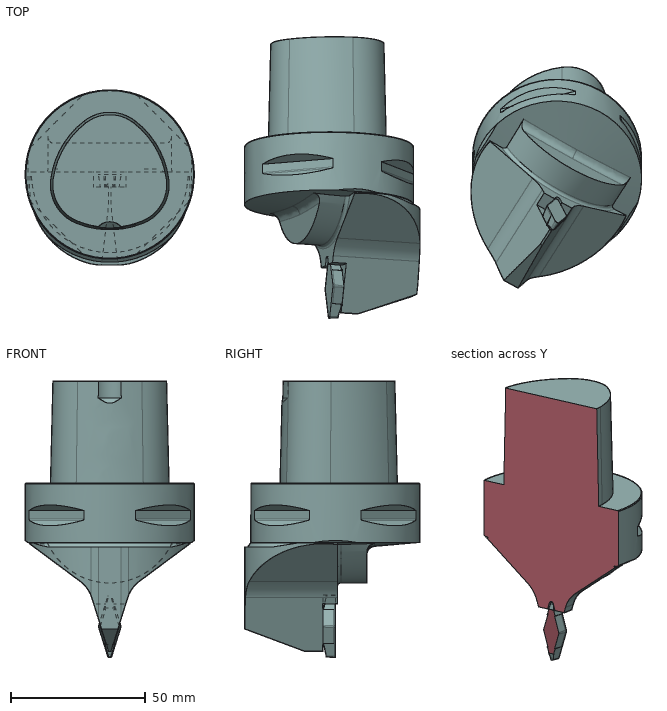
import cadquery as cq
import math


shank_height = 38.0
lobe_radius = 23.2
seam_radius = 22.0
side_radius = 20.65
seam_half_angle = 25.5
shank_shrink = 0.9
lobe_count = 3

notch_radius = 5.7
notch_axis_y = -23.3
notch_depth = 6.2
notch_point_height = 4.9

flange_radius = 31.5
flange_height = 22.0
flange_chamfer = 0.3
dish_height = 1.9
dish_radius = 10.3

slot_count = 4
slot_floor_distance = 28.0
slot_center_z = -11.9
slot_floor_half = 1.8
slot_mouth_half = 3.86
slot_half_length = 16.5
slot_corner_radius = 0.6

leg_top_z = -23.7
leg_radius = 29.9
leg_axis_y = -4.3
leg_front_y = 0.8
leg_back_y = -33.8
leg_back_half = 4.2
leg_bevel_half = 7.0
leg_end_z = -62.6
heel_top_z = -54.3
heel_end_y = -11.4

collar_top_z = -22.2
collar_bottom_radius = 32.8

slope_start_z = -21.3
slope_angle = 36.6
flank_half_angle = 17.5
flank_apex_z = -64.0
flank_corner_radius = 11.9

boss_back_y = 11.7
boss_radius = 25.4
boss_bottom_z = -37.2
boss_root_fillet = 3.1
boss_leg_fillet = 1.2

tip_z = shank_height - 103.0
insert_half_width = 4.27
nose_radius = 0.8
side_corner_radius = 1.49
insert_clearance = 5.0
insert_thickness = 4.6
insert_half_length = insert_half_width / math.tan(math.radians(flank_half_angle))
nose_setback = nose_radius / math.sin(math.radians(flank_half_angle)) - nose_radius
insert_center_z = tip_z + insert_half_length - nose_setback

relief_half_length = 6.4
relief_start = 0.6
relief_clearance = 9.0
pad_half_length = 6.8
pad_step_thickness = 4.3
end_relief_half_length = 10.5
end_thickness = 3.5

seat_roof_z = -44.9

overrun = 2.1
pick_margin = 0.1
root_pick_depth = 0.5


def polar_point(radius, degrees):
    angle = math.radians(degrees)
    return (radius * math.cos(angle), radius * math.sin(angle))


def lobed_outline(plane, shrink):
    """Closed outline of alternating lobe arcs and flatter side arcs."""
    pitch = 360 / lobe_count
    lobe = lobe_radius - shrink
    seam = seam_radius - shrink
    side = side_radius - shrink
    outline = plane.moveTo(*polar_point(seam, 90 - seam_half_angle))
    for index in range(lobe_count):
        crown = 90 + index * pitch
        outline = outline.threePointArc(
            polar_point(lobe, crown), polar_point(seam, crown + seam_half_angle)
        )
        outline = outline.threePointArc(
            polar_point(side, crown + pitch / 2), polar_point(seam, crown + pitch - seam_half_angle)
        )
    return outline.close()


def make_shank():
    base = lobed_outline(cq.Workplane("XY"), 0)
    shank = lobed_outline(base.workplane(offset=shank_height), shank_shrink).loft(ruled=True)
    notch = (
        cq.Workplane("XZ", origin=(0, notch_axis_y, shank_height))
        .polyline([
            (0, overrun),
            (notch_radius, overrun),
            (notch_radius, -notch_depth),
            (0, -notch_depth - notch_point_height),
        ])
        .close()
        .revolve(360, (0, 0), (0, 1))
    )
    return shank.cut(notch)


def make_flange():
    flange = (
        cq.Workplane("YZ")
        .polyline([
            (0, 0),
            (flange_radius - flange_chamfer, 0),
            (flange_radius, -flange_chamfer),
            (flange_radius, -flange_height),
            (dish_radius, -flange_height - dish_height),
            (0, -flange_height - dish_height),
        ])
        .close()
        .revolve(360, (0, 0), (0, 1))
    )
    flare = (slot_mouth_half - slot_floor_half) / (flange_radius - slot_floor_distance)
    outer_distance = flange_radius + overrun
    outer_half = slot_floor_half + flare * (outer_distance - slot_floor_distance)
    slot = (
        cq.Workplane("XZ", origin=(0, 0, slot_center_z))
        .polyline([
            (slot_floor_distance, slot_floor_half),
            (outer_distance, outer_half),
            (outer_distance, -outer_half),
            (slot_floor_distance, -slot_floor_half),
        ])
        .close()
        .extrude(slot_half_length, both=True)
        .faces("<X")
        .edges("<Z")
        .fillet(slot_corner_radius)
    )
    for index in range(slot_count):
        angle = (index + 0.5) * 360 / slot_count
        flange = flange.cut(slot.rotate((0, 0, 0), (0, 0, 1), angle))
    return flange


def leg_section(z):
    """Leg cross-section: flat bevelled back, round sides, flat front."""
    bevel_y = leg_axis_y - math.sqrt(leg_radius**2 - leg_bevel_half**2)
    front_half = math.sqrt(leg_radius**2 - (leg_front_y - leg_axis_y) ** 2)
    diagonal = leg_radius * math.sqrt(0.5)
    return (
        cq.Workplane("XY", origin=(0, 0, z))
        .moveTo(-front_half, leg_front_y)
        .threePointArc((-diagonal, leg_axis_y - diagonal), (-leg_bevel_half, bevel_y))
        .lineTo(-leg_back_half, leg_back_y)
        .lineTo(leg_back_half, leg_back_y)
        .lineTo(leg_bevel_half, bevel_y)
        .threePointArc((diagonal, leg_axis_y - diagonal), (front_half, leg_front_y))
        .close()
    )


def make_leg():
    leg = leg_section(leg_top_z).extrude(leg_end_z - leg_top_z)
    collar_height = collar_top_z - leg_top_z
    cone = cq.Workplane(
        cq.Solid.makeCone(
            collar_bottom_radius, flange_radius, collar_height, pnt=cq.Vector(0, 0, leg_top_z)
        )
    )
    collar = leg_section(leg_top_z).extrude(collar_height).intersect(cone)
    heel = (
        cq.Workplane("YZ")
        .polyline([(leg_back_y, heel_top_z), (heel_end_y, leg_end_z), (leg_back_y, leg_end_z)])
        .close()
        .extrude(flange_radius, both=True)
    )
    return leg.cut(heel).union(collar)


def make_tool_end():
    """Flange, leg and boss as one body, with the boss's edges blended into the other two."""
    boss_height = -flange_height - boss_bottom_z
    half_width = math.sqrt(boss_radius**2 - (boss_radius - boss_height) ** 2)
    boss = (
        cq.Workplane("XZ", origin=(0, boss_back_y, 0))
        .moveTo(-half_width, -flange_height)
        .threePointArc((0, boss_bottom_z), (half_width, -flange_height))
        .close()
        .extrude(boss_back_y)
    )
    body = make_flange().union(boss).union(make_leg())

    root_edges = cq.selectors.BoxSelector(
        (-boss_radius, boss_back_y - pick_margin, leg_top_z - root_pick_depth),
        (boss_radius, boss_back_y + pick_margin, -flange_height),
    )
    leg_edges = cq.selectors.BoxSelector(
        (-boss_radius, leg_front_y - pick_margin, boss_bottom_z),
        (boss_radius, leg_front_y + pick_margin, leg_top_z - root_pick_depth),
    )
    body = body.edges(root_edges).fillet(boss_root_fillet)
    body = body.edges(leg_edges).fillet(boss_leg_fillet)
    return body


def make_flank_envelope():
    """Prism along Y that bounds the tool's flanks from flange to tip."""
    shallow = math.tan(math.radians(slope_angle))
    steep = math.tan(math.radians(flank_half_angle))
    rim = flange_radius + overrun
    rim_z = slope_start_z + overrun * shallow
    corner_x = steep * (slope_start_z - flange_radius * shallow - flank_apex_z) / (1 - steep * shallow)
    corner_z = flank_apex_z + corner_x / steep
    envelope = (
        cq.Workplane("XZ")
        .polyline([
            (-rim, shank_height),
            (rim, shank_height),
            (rim, rim_z),
            (corner_x, corner_z),
            (0, flank_apex_z),
            (-corner_x, corner_z),
            (-rim, rim_z),
        ])
        .close()
        .extrude(2 * flange_radius, both=True)
    )
    corners = cq.selectors.BoxSelector(
        (-corner_x - pick_margin, -flange_radius, corner_z - pick_margin),
        (corner_x + pick_margin, flange_radius, corner_z + pick_margin),
    )
    return envelope.edges(corners).fillet(flank_corner_radius)


def insert_outline(inset):
    """Rhombus with rounded corners, its long diagonal upright, shrunk inward by the inset."""
    half_width = insert_half_width - inset / math.cos(math.radians(flank_half_angle))
    half_length = half_width / math.tan(math.radians(flank_half_angle))
    corners = [(half_width, 0), (0, half_length), (-half_width, 0), (0, -half_length)]
    return (
        cq.Sketch()
        .polygon([*corners, corners[0]])
        .vertices(">Y or <Y")
        .fillet(nose_radius - inset)
        .reset()
        .vertices(">X or <X")
        .fillet(side_corner_radius - inset)
    )


def insert_plane(y):
    return cq.Workplane("XZ", origin=(0, y, insert_center_z))


def make_insert():
    plate = insert_plane(0).placeSketch(insert_outline(0)).extrude(
        insert_thickness, taper=insert_clearance
    )

    relief_inset = relief_start * math.tan(math.radians(insert_clearance))
    relief_depth = insert_thickness - relief_start
    middle = insert_plane(-relief_start).rect(3 * insert_half_width, 2 * relief_half_length)
    relief = middle.extrude(relief_depth).cut(
        insert_plane(-relief_start)
        .placeSketch(insert_outline(relief_inset))
        .extrude(relief_depth, taper=relief_clearance)
    )
    insert = plate.cut(relief)

    for end in (1, -1):
        underside = (
            cq.Workplane("YZ", origin=(0, 0, insert_center_z))
            .polyline([
                (-insert_thickness, end * pad_half_length),
                (-pad_step_thickness, end * pad_half_length),
                (-end_thickness, end * end_relief_half_length),
                (-end_thickness, end * insert_half_length),
                (-insert_thickness, end * insert_half_length),
            ])
            .close()
            .extrude(insert_half_width, both=True)
        )
        insert = insert.cut(underside)
    return insert


def make_seat_cut():
    """Open seat below the roof plus the notch that takes the insert's upper end."""
    seat_height = seat_roof_z - tip_z
    lip_depth = leg_front_y + insert_thickness
    seat = cq.Workplane("XY").box(
        2 * flange_radius, lip_depth, seat_height, centered=(True, False, False)
    ).translate((0, -insert_thickness, tip_z))
    notch = insert_plane(leg_front_y).placeSketch(insert_outline(0)).extrude(lip_depth)
    return seat.union(notch)


def make_holder():
    body = make_tool_end().intersect(make_flank_envelope())
    return make_shank().union(body).cut(make_seat_cut())


holder = make_holder()
insert = make_insert()

result = cq.Compound.makeCompound([holder.solids().val(), insert.solids().val()])